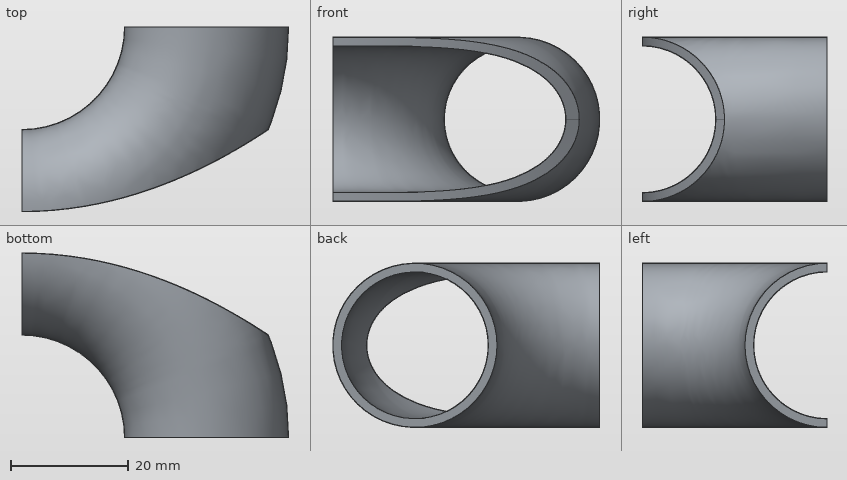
import cadquery as cq


outer_diameter = 28.0
wall = 1.5
bend_radius = 31.5
bend_angle = 90.0

outer_radius = outer_diameter / 2
inner_radius = outer_radius - wall
bend_outer_reach = bend_radius + outer_radius

mitre_reach = bend_outer_reach + outer_radius


def mitre_height(x):
    return x ** 2 / (4 * bend_radius) - bend_radius


def make_elbow():
    """Tube ring at x = 0 swept about Z to the open end on the plane y = 0."""
    return (
        cq.Workplane("YZ")
        .center(-bend_radius, 0)
        .circle(outer_radius)
        .circle(inner_radius)
        .revolve(bend_angle, (bend_radius, 0), (bend_radius, 1))
    )


def make_kept_region():
    """Prism on the bend-centre side of the parabola, taller than the tube."""
    vertex = (0, -bend_radius)
    tangent_crossing = (mitre_reach / 2, -bend_radius)
    far_end = (mitre_reach, mitre_height(mitre_reach))
    return (
        cq.Workplane("XY")
        .moveTo(*vertex)
        .bezier([vertex, tangent_crossing, far_end])
        .lineTo(mitre_reach, outer_radius)
        .lineTo(0, outer_radius)
        .close()
        .extrude(outer_diameter, both=True)
    )


result = make_elbow().intersect(make_kept_region())